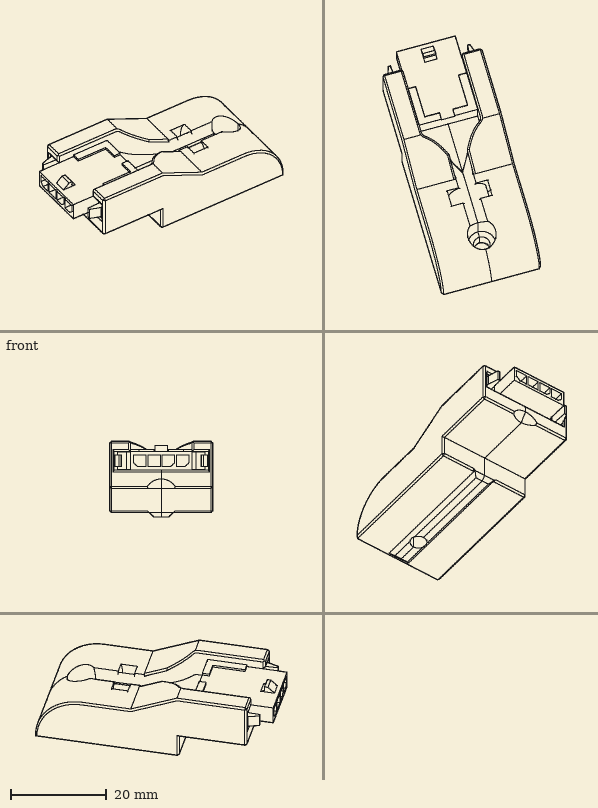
import cadquery as cq
import math


WIDTH = 21.6
LENGTH = 45.4
HEIGHT = 15.0
TAIL_HEIGHT = 10.45
TAIL_RADIUS = 10.0
HEAD_BOTTOM = 5.1
BASE_FRONT = 14.55
SLOPE_TOP_Y = 15.05
SLOPE_BOTTOM_Y = 24.95
EDGE_CHAMFER = 0.4
NEAR = 0.05
CLEAR = 0.5

KEEL_DEPTH = 0.9
KEEL_BOTTOM_HALF_WIDTH = 1.6
KEEL_REAR_INSET = 0.4

SCREW_Y = 38.0
SCREW_DIAMETER = 3.5
SCREW_HEAD_DIAMETER = 5.95
SCREW_SEAT_Z = 3.0

CHANNEL_DIAMETER = 3.9
CHANNEL_AXIS_Z = 10.85
CHANNEL_MOUTH_RADIUS = 1.0
CHANNEL_MOUTH_FRONT = 19.05
CHANNEL_RIM_FRONT = 19.55
TIE_INNER_RADIUS = 4.05
TIE_OUTER_RADIUS = 5.9
TIE_AXIS_Z = 6.5
TIE_WIDTH = 3.5
TIE_Y = 28.7
TIE_LIP_FILLET = 0.4

THUMB_RADIUS = 4.3
THUMB_CENTRE_Y = -2.5
THUMB_CENTRE_Z = 3.55

CONNECTOR_WIDTH = 12.85
CONNECTOR_BOTTOM = 8.9
CONNECTOR_TOP = 12.85
CONNECTOR_FRONT = LENGTH - 50.1
CONNECTOR_BACK = 12.35

POCKET_WIDTH = 19.75
MOUTH_DEPTH = 0.35
MOUTH_FLARE_X = 0.2
MOUTH_FLARE_Z = 0.35

OPENING_CORNER_RADIUS = 1.0
OPENING_CORNER_Y = 14.5
OPENING_BLEND_RADIUS = 10.0
OPENING_BLEND_ANGLE = math.radians(57)
OPENING_APEX_ANGLE = math.radians(31)

RIB_TOP = 13.3
RIB_FRONT = 3.9
RIB_INNER_X = 4.65
RIB_REAR_FRONT = 10.8
RIB_REAR_INNER_X = 1.45

RAMP_WIDTH = 2.65
RAMP_FRONT = -3.8
RAMP_CREST_FRONT = -2.4
RAMP_CREST_BACK = -1.65
RAMP_FOOT_BACK = -0.85
RAMP_FOOT_TOP = 13.2
RAMP_TOP = 14.1

CAVITY_COUNT = 4
CAVITY_PITCH = 3.0
CAVITY_WIDTH = 2.6
CAVITY_BOTTOM = 9.65
CAVITY_TOP = 12.1
CAVITY_CHAMFER = 0.8
CAVITY_DEPTH = 7.0
CAVITY_CUT_CORNERS = [-1, 0, 1, 1]

WING_BOTTOM = 9.0
WING_TOP = 12.7
WING_OUTER_X = 9.1
WING_NOSE_X = 7.3
WING_NOSE_Y = 1.0
GROOVE_END_Y = 4.0
LATCH_BOTTOM = 9.6
LATCH_TOP = 12.15
LATCH_TIP_Y = -2.3
LATCH_TIP_INNER_X = 8.35
LATCH_TIP_OUTER_X = 8.85
LATCH_ROOT_INNER_X = 8.25
LATCH_ROOT_OUTER_X = 9.65
LATCH_ROOT_Y = 3.0


def box(x0, x1, y0, y1, z0, z1):
    return cq.Workplane("XY").box(x1 - x0, y1 - y0, z1 - z0, centered=False).translate((x0, y0, z0))


def along_x(outline, width):
    """Extrude a Workplane outline drawn in YZ symmetrically about X = 0."""
    return outline.extrude(width / 2, both=True)


def shell_block():
    tail_start = LENGTH - TAIL_RADIUS
    arc_z = TAIL_HEIGHT - TAIL_RADIUS
    arc_mid = TAIL_RADIUS * math.sqrt(0.5)
    outline = (
        cq.Workplane("YZ")
        .moveTo(0, HEAD_BOTTOM)
        .lineTo(0, HEIGHT)
        .lineTo(SLOPE_TOP_Y, HEIGHT)
        .lineTo(SLOPE_BOTTOM_Y, TAIL_HEIGHT)
        .lineTo(tail_start, TAIL_HEIGHT)
        .threePointArc((tail_start + arc_mid, arc_z + arc_mid), (LENGTH, arc_z))
        .lineTo(LENGTH, 0)
        .lineTo(BASE_FRONT, 0)
        .lineTo(BASE_FRONT, HEAD_BOTTOM)
        .close()
    )
    return along_x(outline, WIDTH)


def bevelled(block):
    """Bevel the side outlines, the edges of the front face and the lower front edge of the base."""

    def is_bevelled(edge):
        middle = edge.Center()
        if abs(middle.x) > WIDTH / 2 - NEAR:
            return middle.y < LENGTH - NEAR
        if middle.y < NEAR:
            return abs(middle.z - CONNECTOR_BOTTOM) > NEAR
        return middle.z < NEAR and middle.y < BASE_FRONT + NEAR

    return block.newObject([edge for edge in block.edges().vals() if is_bevelled(edge)]).chamfer(EDGE_CHAMFER)


def opening_rim():
    """Cutter for the 45-degree bevel around the wire opening, following the top face and the slope."""
    fall = (HEIGHT - TAIL_HEIGHT) / (SLOPE_BOTTOM_Y - SLOPE_TOP_Y)
    flare = opening_outline(HEIGHT - EDGE_CHAMFER).extrude(EDGE_CHAMFER + CLEAR, taper=-45)
    shear = cq.Matrix([[1, 0, 0, 0], [0, 1, 0, 0], [0, -fall, 1, fall * SLOPE_TOP_Y]])
    sloped_flare = cq.Workplane(flare.val().transformGeometry(shear))
    level = box(-WIDTH, WIDTH, -CLEAR, SLOPE_TOP_Y, 0, 2 * HEIGHT)
    sloped = box(-WIDTH, WIDTH, SLOPE_TOP_Y, LENGTH, 0, 2 * HEIGHT)
    return flare.intersect(level).union(sloped_flare.intersect(sloped))


def channel_rim():
    """Cutter for the 45-degree bevels along the channel where it passes through the slope."""
    radius = CHANNEL_DIAMETER / 2
    flare = EDGE_CHAMFER + CLEAR
    run = SLOPE_BOTTOM_Y - SLOPE_TOP_Y
    drop = HEIGHT - TAIL_HEIGHT
    along_slope = cq.Plane((0, SLOPE_BOTTOM_Y, TAIL_HEIGHT), xDir=(1, 0, 0), normal=(0, -run, drop))
    return (
        cq.Workplane(along_slope)
        .moveTo(-radius, -EDGE_CHAMFER)
        .lineTo(radius, -EDGE_CHAMFER)
        .lineTo(radius + flare, CLEAR)
        .lineTo(-radius - flare, CLEAR)
        .close()
        .extrude(SLOPE_BOTTOM_Y - CHANNEL_RIM_FRONT)
    )


def keel():
    rise = KEEL_DEPTH + EDGE_CHAMFER
    back = LENGTH - KEEL_REAR_INSET
    section = (
        cq.Workplane("XZ", origin=(0, BASE_FRONT, 0))
        .moveTo(-KEEL_BOTTOM_HALF_WIDTH, -KEEL_DEPTH)
        .lineTo(KEEL_BOTTOM_HALF_WIDTH, -KEEL_DEPTH)
        .lineTo(KEEL_BOTTOM_HALF_WIDTH + rise, EDGE_CHAMFER)
        .lineTo(-KEEL_BOTTOM_HALF_WIDTH - rise, EDGE_CHAMFER)
        .close()
        .extrude(BASE_FRONT - back)
    )
    side = (
        cq.Workplane("YZ")
        .moveTo(BASE_FRONT, EDGE_CHAMFER)
        .lineTo(BASE_FRONT, 0)
        .lineTo(BASE_FRONT + KEEL_DEPTH, -KEEL_DEPTH)
        .lineTo(back - KEEL_DEPTH, -KEEL_DEPTH)
        .lineTo(back, 0)
        .lineTo(back, EDGE_CHAMFER)
        .close()
    )
    return section.intersect(along_x(side, WIDTH))


def screw_hole():
    bore = cq.Workplane("XY").circle(SCREW_DIAMETER / 2).extrude(HEIGHT + 2 * KEEL_DEPTH)
    bore = bore.translate((0, SCREW_Y, -2 * KEEL_DEPTH))
    head = cq.Workplane("XY").circle(SCREW_HEAD_DIAMETER / 2).extrude(HEIGHT)
    return bore.union(head.translate((0, SCREW_Y, SCREW_SEAT_Z)))


def cable_channel():
    radius = CHANNEL_DIAMETER / 2
    start = OPENING_CORNER_Y
    return (
        cq.Workplane("XZ", origin=(0, start, 0))
        .moveTo(-radius, HEIGHT + CLEAR)
        .lineTo(-radius, CHANNEL_AXIS_Z)
        .threePointArc((0, CHANNEL_AXIS_Z - radius), (radius, CHANNEL_AXIS_Z))
        .lineTo(radius, HEIGHT + CLEAR)
        .close()
        .extrude(start - SCREW_Y)
    )


def opening_side(side):
    """Points of one flank of the wire opening, from the straight wall to the apex."""
    half = CONNECTOR_WIDTH / 2
    corner_x = half - OPENING_CORNER_RADIUS
    reach = OPENING_CORNER_RADIUS + OPENING_BLEND_RADIUS
    blend_x = corner_x + reach * math.cos(OPENING_BLEND_ANGLE)
    blend_y = OPENING_CORNER_Y + reach * math.sin(OPENING_BLEND_ANGLE)

    def on_corner(angle):
        x = corner_x + OPENING_CORNER_RADIUS * math.cos(angle)
        return side * x, OPENING_CORNER_Y + OPENING_CORNER_RADIUS * math.sin(angle)

    def on_blend(angle):
        x = blend_x - OPENING_BLEND_RADIUS * math.cos(angle)
        return side * x, blend_y - OPENING_BLEND_RADIUS * math.sin(angle)

    middle = (OPENING_BLEND_ANGLE + OPENING_APEX_ANGLE) / 2
    end_x, end_y = on_blend(OPENING_APEX_ANGLE)
    return {
        "wall": on_corner(0),
        "corner_mid": on_corner(OPENING_BLEND_ANGLE / 2),
        "corner_end": on_corner(OPENING_BLEND_ANGLE),
        "blend_mid": on_blend(middle),
        "blend_end": (end_x, end_y),
        "apex": (0, end_y + abs(end_x) / math.tan(OPENING_APEX_ANGLE)),
    }


def opening_outline(z):
    left = opening_side(-1)
    right = opening_side(1)
    half = CONNECTOR_WIDTH / 2
    return (
        cq.Workplane("XY", origin=(0, 0, z))
        .moveTo(-half, -CLEAR)
        .lineTo(*left["wall"])
        .threePointArc(left["corner_mid"], left["corner_end"])
        .threePointArc(left["blend_mid"], left["blend_end"])
        .lineTo(*left["apex"])
        .lineTo(*right["blend_end"])
        .threePointArc(right["blend_mid"], right["corner_end"])
        .threePointArc(right["corner_mid"], right["wall"])
        .lineTo(half, -CLEAR)
        .close()
    )


def wire_opening():
    return opening_outline(CONNECTOR_BOTTOM).extrude(HEIGHT)


def connector_pocket():
    half = POCKET_WIDTH / 2
    pocket = box(-half, half, 0, CONNECTOR_BACK, CONNECTOR_BOTTOM, CONNECTOR_TOP)
    height = CONNECTOR_TOP - CONNECTOR_BOTTOM
    mouth = (
        cq.Workplane("XZ", origin=(0, 0, (CONNECTOR_TOP + CONNECTOR_BOTTOM) / 2))
        .rect(POCKET_WIDTH + 2 * MOUTH_FLARE_X, height + 2 * MOUTH_FLARE_Z)
        .workplane(offset=-MOUTH_DEPTH)
        .rect(POCKET_WIDTH, height)
        .loft()
    )
    return pocket.union(mouth)


def thumb_recess():
    return cq.Workplane("XY").sphere(THUMB_RADIUS).translate((0, THUMB_CENTRE_Y, THUMB_CENTRE_Z))


def tie_tunnel():
    return (
        cq.Workplane("XZ", origin=(0, TIE_Y + TIE_WIDTH / 2, TIE_AXIS_Z))
        .circle(TIE_OUTER_RADIUS)
        .circle(TIE_INNER_RADIUS)
        .extrude(TIE_WIDTH)
    )


def rounded_channel_mouth(body):
    """Round the edges where the channel runs out into the flanks of the wire opening.

    The opening is sunk below its floor while the rounding is made, so that the rounding runs
    past the floor, and is filled up again afterwards.
    """
    sunk = opening_outline(CONNECTOR_BOTTOM - CHANNEL_MOUTH_RADIUS - CLEAR).extrude(
        CHANNEL_MOUTH_RADIUS + CLEAR
    )
    sunk = sunk.intersect(box(-WIDTH, WIDTH, CHANNEL_MOUTH_FRONT, LENGTH, 0, HEIGHT))
    body = body.cut(sunk)
    radius = CHANNEL_DIAMETER / 2
    corner_y = opening_side(1)["apex"][1] - radius / math.tan(OPENING_APEX_ANGLE)

    def is_corner(vertex):
        return abs(vertex.Y - corner_y) < NEAR and abs(abs(vertex.X) - radius) < NEAR

    def is_mouth_edge(edge):
        corners = [is_corner(vertex) for vertex in edge.Vertices()]
        upright = all(corners)
        curved = any(corners) and abs(edge.Center().x) < radius - NEAR
        return upright or curved

    mouth = [edge for edge in body.edges().vals() if is_mouth_edge(edge)]
    return body.newObject(mouth).fillet(CHANNEL_MOUTH_RADIUS).union(sunk)


def rounded_tie_lips(body):
    """Round the two ridges between the channel and the tie tunnel."""
    radius = CHANNEL_DIAMETER / 2

    def is_lip(edge):
        middle = edge.Center()
        straight = edge.geomType() == "LINE" and abs(edge.Length() - TIE_WIDTH) < NEAR
        return straight and abs(middle.x) < radius and middle.z > CONNECTOR_BOTTOM

    lips = [edge for edge in body.edges().vals() if is_lip(edge)]
    return body.newObject(lips).fillet(TIE_LIP_FILLET)


def housing_body():
    body = bevelled(shell_block().cut(wire_opening())).cut(cable_channel())
    body = rounded_channel_mouth(body).union(keel())
    body = rounded_tie_lips(body.cut(tie_tunnel()))
    for cutter in (channel_rim(), opening_rim(), connector_pocket(), screw_hole(), thumb_recess()):
        body = body.cut(cutter)
    return body


def housing_half():
    """The half of the housing on the +X side."""
    return housing_body().intersect(box(0, WIDTH, -LENGTH, 2 * LENGTH, -HEIGHT, 2 * HEIGHT))


def cavity(index):
    centre = (index - (CAVITY_COUNT - 1) / 2) * CAVITY_PITCH
    half = CAVITY_WIDTH / 2
    hole = box(
        centre - half, centre + half,
        CONNECTOR_FRONT, CONNECTOR_FRONT + CAVITY_DEPTH,
        CAVITY_BOTTOM, CAVITY_TOP,
    )
    side = CAVITY_CUT_CORNERS[index]
    if side:
        hole = hole.edges(
            cq.selectors.NearestToPointSelector(
                (centre + side * half, CONNECTOR_FRONT + CAVITY_DEPTH / 2, CAVITY_BOTTOM)
            )
        ).chamfer(CAVITY_CHAMFER)
    return hole


def rib():
    """L-shaped rib on the +X side."""
    half = CONNECTOR_WIDTH / 2
    return (
        cq.Workplane("XY", origin=(0, 0, CONNECTOR_TOP))
        .moveTo(half, RIB_FRONT)
        .lineTo(half, CONNECTOR_BACK)
        .lineTo(RIB_REAR_INNER_X, CONNECTOR_BACK)
        .lineTo(RIB_REAR_INNER_X, RIB_REAR_FRONT)
        .lineTo(RIB_INNER_X, RIB_REAR_FRONT)
        .lineTo(RIB_INNER_X, RIB_FRONT)
        .close()
        .extrude(RIB_TOP - CONNECTOR_TOP)
    )


def ramp():
    outline = (
        cq.Workplane("YZ")
        .moveTo(RAMP_FRONT, CONNECTOR_TOP)
        .lineTo(RAMP_CREST_FRONT, RAMP_TOP)
        .lineTo(RAMP_CREST_BACK, RAMP_TOP)
        .lineTo(RAMP_CREST_BACK, RAMP_FOOT_TOP)
        .lineTo(RAMP_FOOT_BACK, CONNECTOR_TOP)
        .close()
    )
    return along_x(outline, RAMP_WIDTH)


def wing():
    """Side wing on the +X side, with a round-bottomed groove beside the connector body."""
    half = CONNECTOR_WIDTH / 2
    groove_radius = (WING_NOSE_X - half) / 2
    return (
        cq.Workplane("XY", origin=(0, 0, WING_BOTTOM))
        .moveTo(half, CONNECTOR_BACK)
        .lineTo(half, GROOVE_END_Y)
        .radiusArc((half + groove_radius, GROOVE_END_Y + groove_radius), groove_radius)
        .radiusArc((WING_NOSE_X, GROOVE_END_Y), groove_radius)
        .lineTo(WING_NOSE_X, WING_NOSE_Y)
        .lineTo(WING_OUTER_X, WING_NOSE_Y + WING_OUTER_X - WING_NOSE_X)
        .lineTo(WING_OUTER_X, CONNECTOR_BACK)
        .close()
        .extrude(WING_TOP - WING_BOTTOM)
    )


def latch():
    """Pointed latch in front of the wing on the +X side."""
    return (
        cq.Workplane("XY", origin=(0, 0, LATCH_BOTTOM))
        .moveTo(LATCH_TIP_INNER_X, LATCH_TIP_Y)
        .lineTo(LATCH_TIP_OUTER_X, LATCH_TIP_Y)
        .lineTo(LATCH_ROOT_OUTER_X, 0)
        .lineTo(LATCH_ROOT_OUTER_X, LATCH_ROOT_Y)
        .lineTo(LATCH_ROOT_INNER_X, LATCH_ROOT_Y)
        .lineTo(LATCH_ROOT_INNER_X, 0)
        .close()
        .extrude(LATCH_TOP - LATCH_BOTTOM)
    )


def connector_body():
    half = CONNECTOR_WIDTH / 2
    body = box(-half, half, CONNECTOR_FRONT, CONNECTOR_BACK, CONNECTOR_BOTTOM, CONNECTOR_TOP)
    body = body.union(ramp())
    for feature in (rib(), wing(), latch()):
        body = body.union(feature).union(feature.mirror("YZ"))
    for index in range(CAVITY_COUNT):
        body = body.cut(cavity(index))
    return body


right_half = housing_half()
left_half = right_half.mirror("YZ")
connector = connector_body()

result = cq.Compound.makeCompound([right_half.val(), left_half.val(), connector.val()])